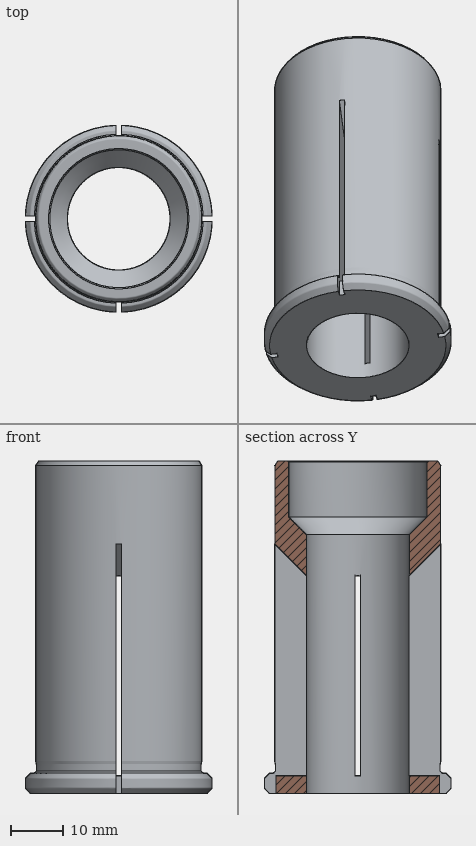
import cadquery as cq
import math

height = 64.0
body_radius = 16.0
bore_radius = 19.7 / 2
rim_chamfer_width = 0.6
rim_chamfer_height = 0.9

counterbore_radius = 26.5 / 2
counterbore_depth = 10.8
mouth_chamfer = 0.25

flange_radius = 18.0
flange_chamfer = 1.0
flange_height = 4.0
neck_radius = 15.9
neck_base = 4.35
neck_top = 5.6
neck_taper_top = 6.3

edge_rounding = 0.4

slot_count = 4
slot_width = 1.0
slot_top = 48.0
slot_base = 3.45
flange_slot_floor = 15.75
cutter_overrun = 0.65


def make_sleeve():
    """Revolve the wall section, drawn as radius against height."""
    flange_face_radius = flange_radius - flange_chamfer
    cone_top = height - counterbore_depth
    cone_base = cone_top - (counterbore_radius - bore_radius)
    section = [
        (bore_radius, 0),
        (flange_face_radius, 0),
        (flange_radius, flange_chamfer),
        (flange_radius, flange_height - flange_chamfer),
        (flange_face_radius, flange_height),
        (neck_radius + neck_base - flange_height, flange_height),
        (neck_radius, neck_base),
        (neck_radius, neck_top),
        (body_radius, neck_taper_top),
        (body_radius, height - rim_chamfer_height),
        (body_radius - rim_chamfer_width, height),
        (counterbore_radius + mouth_chamfer, height),
        (counterbore_radius, height - mouth_chamfer),
        (counterbore_radius, cone_top),
        (bore_radius, cone_base),
    ]
    return cq.Workplane("XZ").polyline(section).close().revolve(360, (0, 0), (0, 1))


def make_slot():
    """Cutter on the +X side: through the wall with a 45 degree upper end, shallow in the flange."""
    outer = flange_radius + cutter_overrun
    inner = bore_radius - cutter_overrun
    outline = [
        (outer, -cutter_overrun),
        (outer, slot_top),
        (body_radius, slot_top),
        (inner, slot_top - (body_radius - inner)),
        (inner, slot_base),
        (flange_slot_floor, slot_base),
        (flange_slot_floor, -cutter_overrun),
    ]
    return cq.Workplane("XZ").polyline(outline).close().extrude(slot_width / 2, both=True)


def round_edges(body):
    """Soften the corners where the rim and flange chamfers meet their neighbouring faces."""
    match_tolerance = 0.0005
    corners = [
        (body_radius - rim_chamfer_width, height),
        (flange_radius - flange_chamfer, flange_height),
        (flange_radius, flange_height - flange_chamfer),
        (flange_radius, flange_chamfer),
    ]
    for radius, level in corners:
        corner_edges = [
            edge for edge in body.edges("%CIRCLE").vals()
            if math.isclose(edge.radius(), radius, abs_tol=match_tolerance)
            and math.isclose(edge.Center().z, level, abs_tol=match_tolerance)
        ]
        body = cq.Workplane(body.val().fillet(edge_rounding, corner_edges))
    return body


result = round_edges(make_sleeve())
slot = make_slot()
for index in range(slot_count):
    result = result.cut(slot.rotate((0, 0, 0), (0, 0, 1), index * 360 / slot_count))